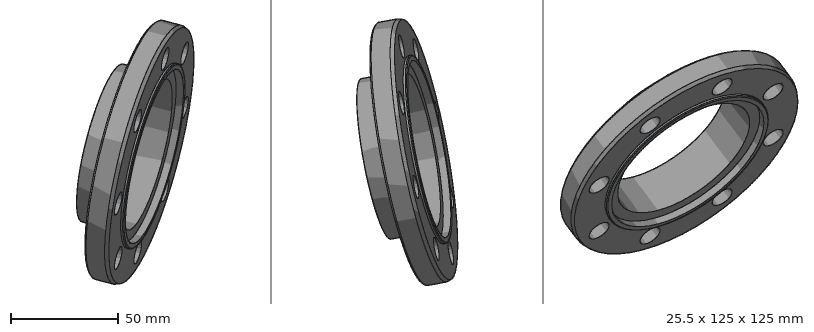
import cadquery as cq

total_length = 25.5
outer_radius = 125 / 2
bore_radius = 72.9 / 2
hub_radius = 76.2 / 2
raised_face_radius = 89.5 / 2

disc_thickness = 11.9
raised_face_height = 1.5
hub_fillet = 4.0
front_chamfer = 0.9
back_bevel_length = 1.9
back_bevel_depth = 0.8
raised_face_chamfer = 0.5
recess_radius = 42.0
recess_depth = 3.6

bolt_count = 8
bolt_circle_radius = 104.0 / 2
bolt_hole_diameter = 11.0
first_bolt_angle = 360 / bolt_count / 2

disc_back = total_length - raised_face_height
disc_front = disc_back - disc_thickness
recess_floor = total_length - recess_depth


def flange_body():
    """Revolve the half section (X along the axis, Y as radius)."""
    section = (
        cq.Workplane("XY")
        .moveTo(0, bore_radius)
        .lineTo(0, hub_radius)
        .lineTo(disc_front - hub_fillet, hub_radius)
        .radiusArc((disc_front, hub_radius + hub_fillet), -hub_fillet)
        .lineTo(disc_front, outer_radius - front_chamfer)
        .lineTo(disc_front + front_chamfer, outer_radius)
        .lineTo(disc_back - back_bevel_length, outer_radius)
        .lineTo(disc_back, outer_radius - back_bevel_depth)
        .lineTo(disc_back, raised_face_radius)
        .lineTo(total_length - raised_face_chamfer, raised_face_radius)
        .lineTo(total_length, raised_face_radius - raised_face_chamfer)
        .lineTo(total_length, recess_radius)
        .lineTo(recess_floor, recess_radius)
        .lineTo(recess_floor, bore_radius)
        .close()
    )
    return section.revolve(360, (0, 0, 0), (1, 0, 0))


def bolt_holes():
    """Cylinders through the disc, evenly spaced and straddling the Y and Z axes."""
    return (
        cq.Workplane("YZ")
        .workplane(offset=disc_front)
        .polarArray(bolt_circle_radius, first_bolt_angle, 360, bolt_count)
        .circle(bolt_hole_diameter / 2)
        .extrude(disc_thickness)
    )


result = flange_body().cut(bolt_holes())